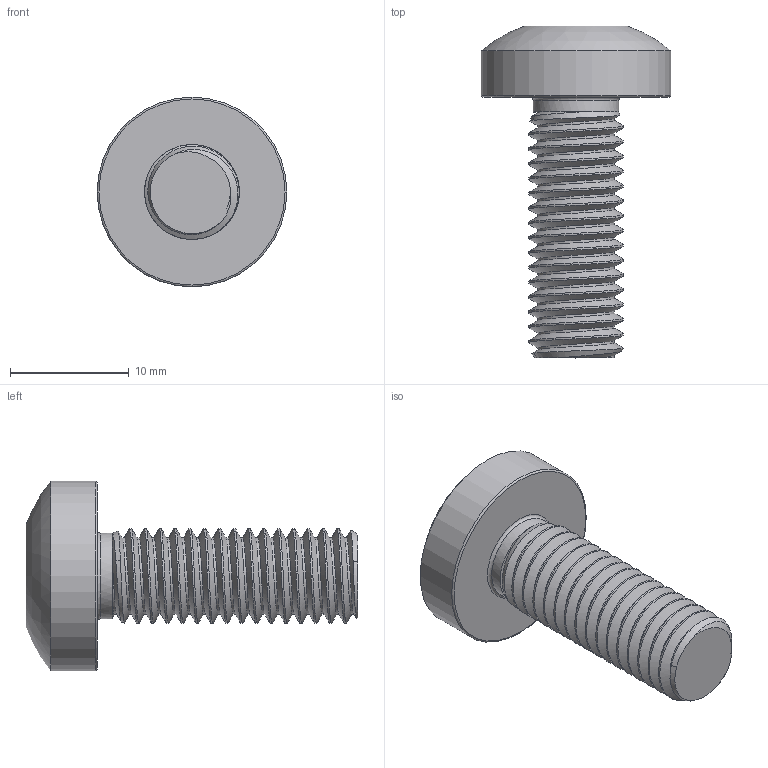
import cadquery as cq
import math


head_radius = 8.0
head_height = 6.0
head_side_height = 3.9
head_flat_radius = 4.3
dome_bulge = 0.22
head_edge_fillet = 0.15

shank_length = 22.0
major_radius = 4.0
pitch = 1.25
thread_height = pitch * math.sqrt(3) / 2
minor_radius = major_radius - thread_height * 17 / 24
crest_width = pitch / 8
flank_slope = math.tan(math.radians(30))

neck_radius = 3.62
neck_length = pitch
neck_flare = 0.25
run_in_length = 1.1
tip_radius = 3.52
tip_chamfer_length = (major_radius - tip_radius) / math.tan(math.radians(30))


def revolve_about_axis(profile):
    """Turn a closed radius/Y profile about the Y axis."""
    return profile.revolve(360, (0, 0, 0), (0, 1, 0))


def make_head():
    """Cylindrical head with a shallow dome cut off by a flat."""
    chord_radius = (head_radius + head_flat_radius) / 2
    chord_height = (head_side_height + head_height) / 2
    rise = head_height - head_side_height
    run = head_radius - head_flat_radius
    chord = math.hypot(run, rise)
    dome_point = (chord_radius + dome_bulge * rise / chord, chord_height + dome_bulge * run / chord)
    profile = (
        cq.Workplane("XY")
        .lineTo(head_radius, 0)
        .lineTo(head_radius, head_side_height)
        .threePointArc(dome_point, (head_flat_radius, head_height))
        .lineTo(0, head_height)
        .close()
    )
    return revolve_about_axis(profile).faces("<Y").edges().fillet(head_edge_fillet)


def make_neck():
    """Plain neck flaring out into the bearing face, overlapping both neighbours."""
    profile = (
        cq.Workplane("XY")
        .moveTo(0, neck_flare)
        .lineTo(neck_radius + neck_flare, neck_flare)
        .lineTo(neck_radius + neck_flare, 0)
        .radiusArc((neck_radius, -neck_flare), -neck_flare)
        .lineTo(neck_radius, -neck_length)
        .lineTo(0, -neck_length)
        .close()
    )
    return revolve_about_axis(profile)


def make_shank_blank():
    """Unthreaded shank, tapered at the neck and at the tip."""
    profile = (
        cq.Workplane("XY")
        .moveTo(0, -neck_length)
        .lineTo(neck_radius, -neck_length)
        .lineTo(major_radius, -neck_length - run_in_length)
        .lineTo(major_radius, -shank_length + tip_chamfer_length)
        .lineTo(tip_radius, -shank_length)
        .lineTo(0, -shank_length)
        .close()
    )
    return revolve_about_axis(profile)


def make_groove_length(turns):
    """Right-hand V groove with a flat root, rising from the +X side at Y = 0."""
    clearance = 0.1
    outer_radius = major_radius + clearance
    root_half = (pitch - crest_width) / 2 - (major_radius - minor_radius) * flank_slope
    outer_half = root_half + (outer_radius - minor_radius) * flank_slope
    helix = cq.Wire.makeHelix(pitch, turns * pitch, minor_radius)
    groove = (
        cq.Workplane("XZ")
        .moveTo(minor_radius, -root_half)
        .lineTo(outer_radius, -outer_half)
        .lineTo(outer_radius, outer_half)
        .lineTo(minor_radius, root_half)
        .close()
        .sweep(cq.Workplane(obj=helix), isFrenet=True)
    )
    return groove.rotate((0, 0, 0), (1, 0, 0), -90)


def make_threaded_shank():
    """Shank with the groove cut in short lengths, from inside the neck to past the tip."""
    turns_per_cut = 3
    cut_count = math.ceil(shank_length / pitch / turns_per_cut)
    groove_length = make_groove_length(turns_per_cut)
    seam_angle = 200
    shank = make_shank_blank().rotate((0, 0, 0), (0, 1, 0), seam_angle)
    for cut_number in range(1, cut_count + 1):
        start_depth = (cut_number * turns_per_cut + 0.5) * pitch
        shank = shank.cut(groove_length.translate((0, -start_depth, 0)), clean=False)
    return shank


neck_and_head = make_neck().union(make_head())
result = make_threaded_shank().union(neck_and_head, clean=False)